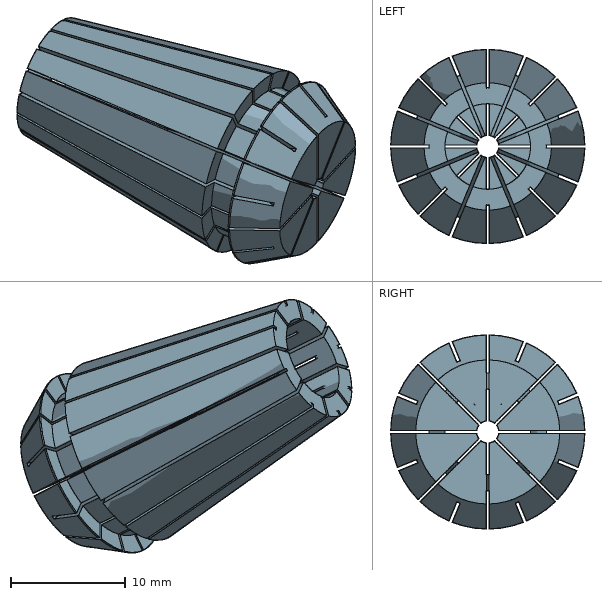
import cadquery as cq
import math

length = 27.5
max_radius = 8.5

taper_angle = 8.0
taper_length = 20.85
nose_radius = max_radius - taper_length * math.tan(math.radians(taper_angle))
groove_radius = 6.9
groove_end = 23.55
rim_width = 0.15
rim_end = groove_end + rim_width
head_angle = 30.0
head_radius = max_radius - (length - rim_end) * math.tan(math.radians(head_angle))

relief_radius = 3.75
relief_depth = 13.75
grip_radius = 0.95

slots_per_set = 8
slot_pitch = 360.0 / slots_per_set
slot_reach = max_radius + 0.28

nose_slot_width = 0.3
nose_saw_radius = 35.2
nose_saw_overshoot = 0.15
nose_slot_end = 26.8
nose_slot_end_radius = max_radius - (nose_slot_end - rim_end) * math.tan(math.radians(head_angle))

head_slot_width = 0.25
head_saw_radius = 20.0
head_slot_end = 1.75


def collet_body():
    """Revolve the tapered body, extraction groove and conical head, with the stepped bore."""
    profile = [
        (0, relief_radius),
        (0, nose_radius),
        (taper_length, max_radius),
        (taper_length, groove_radius),
        (groove_end, groove_radius),
        (groove_end, max_radius),
        (rim_end, max_radius),
        (length, head_radius),
        (length, grip_radius),
        (relief_depth, grip_radius),
        (relief_depth, relief_radius),
    ]
    return cq.Workplane("XY").polyline(profile).close().revolve(360, (0, 0, 0), (1, 0, 0))


def saw_slot(open_x, end_x, end_radius, saw_radius, overshoot, width):
    """Cutter for one slot in the +Z half: straight from open_x, then rising on an arc.

    The arc passes end_x at end_radius, and its lowest point is overshoot below the axis.
    """
    direction = math.copysign(1.0, end_x - open_x)
    saw_height = saw_radius - overshoot

    def rim_offset(radius):
        return direction * math.sqrt(saw_radius**2 - (saw_height - radius) ** 2)

    saw_x = end_x - rim_offset(end_radius)
    return (
        cq.Workplane("XZ")
        .moveTo(open_x, -overshoot)
        .lineTo(saw_x, -overshoot)
        .threePointArc(
            (saw_x + rim_offset(end_radius), end_radius),
            (saw_x + rim_offset(slot_reach), slot_reach),
        )
        .lineTo(open_x, slot_reach)
        .close()
        .extrude(width / 2, both=True)
    )


def cut_slot_set(body, cutter, first_angle):
    """Cut one set of equally spaced slots, starting at first_angle about the X axis."""
    for index in range(slots_per_set):
        angle = first_angle + index * slot_pitch
        body = body.cut(cutter.rotate((0, 0, 0), (1, 0, 0), angle))
    return body


nose_slot = saw_slot(
    0, nose_slot_end, nose_slot_end_radius, nose_saw_radius, nose_saw_overshoot, nose_slot_width
)
head_slot = saw_slot(length, head_slot_end, relief_radius, head_saw_radius, 0, head_slot_width)

result = collet_body()
result = cut_slot_set(result, nose_slot, slot_pitch / 2)
result = cut_slot_set(result, head_slot, 0)